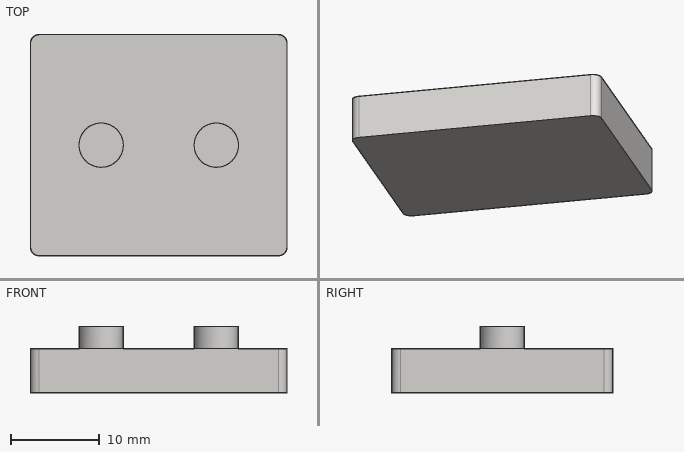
import cadquery as cq

plate_length = 29.0
plate_width = 25.0
plate_thickness = 5.0
corner_radius = 1.0

peg_diameter = 5.0
peg_height = 2.5
peg_spacing = 13.0


def make_plate():
    """Rectangular plate resting on Z = 0, with rounded vertical edges."""
    plate = cq.Workplane("XY").box(
        plate_length, plate_width, plate_thickness, centered=(True, True, False)
    )
    return plate.edges("|Z").fillet(corner_radius)


def add_pegs(plate):
    """Raise two pegs from the top face, symmetric about the plate centre."""
    peg_centres = [(-peg_spacing / 2, 0), (peg_spacing / 2, 0)]
    return (
        plate.faces(">Z")
        .workplane(origin=(0, 0, 0))
        .pushPoints(peg_centres)
        .circle(peg_diameter / 2)
        .extrude(peg_height)
    )


result = add_pegs(make_plate())